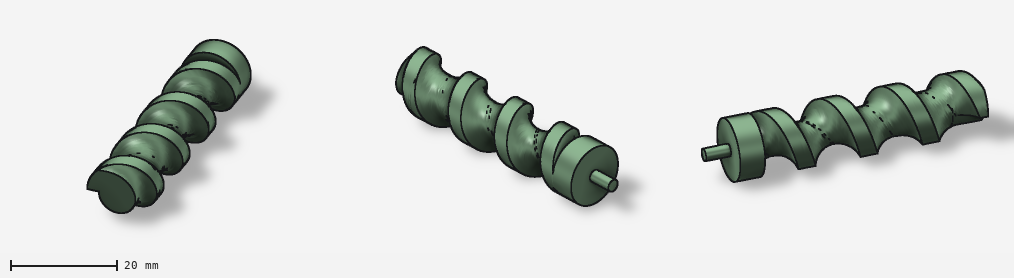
import cadquery as cq
import math

total_length = 55.0
outer_radius = 12.3 / 2
pin_radius = 2.5 / 2
pin_length = 5.0
collar_length = 5.0
screw_length = total_length - pin_length - collar_length

thick_root_radius = 3.75
thin_root_radius = 5.5 / 2
taper_start = screw_length / 3
taper_end = 2 * screw_length / 3

pitch = 12.5
land_width = 3.4
flank_radius = 4.4
start_angle = math.pi

sections_per_turn = 12
flank_steps = 6

clearance = 0.03
overshoot = 0.55
cutter_steps = 6


def root_radius(y):
    """Groove root radius at axial position y."""
    taper = min(max((y - taper_start) / (taper_end - taper_start), 0), 1)
    return thick_root_radius + taper * (thin_root_radius - thick_root_radius)


def thread_angle(y):
    """Angle about the axis, from +X towards +Z, of the land's middle at y."""
    return start_angle - 2 * math.pi * y / pitch


def polar_point(radius, angle, y):
    return cq.Vector(radius * math.cos(angle), y, radius * math.sin(angle))


def screw_section(y):
    """Cross-section of the screw at y: land, flank, root and second flank."""
    root = root_radius(y)
    depth = outer_radius - root
    flank_width = math.sqrt(flank_radius**2 - (flank_radius - depth) ** 2)

    def place(radius, axial_offset):
        return polar_point(radius, thread_angle(y) + 2 * math.pi * axial_offset / pitch, y)

    def flank(side):
        points = []
        for step in range(flank_steps + 1):
            from_foot = flank_width * (1 - step / flank_steps)
            radius = root + flank_radius - math.sqrt(flank_radius**2 - from_foot**2)
            offset = land_width / 2 + flank_width - from_foot
            points.append(place(radius, side * offset))
        return points

    leading = flank(1)
    trailing = flank(-1)
    return cq.Wire.assembleEdges([
        cq.Edge.makeThreePointArc(trailing[0], place(outer_radius, 0), leading[0]),
        cq.Edge.makeSpline(leading),
        cq.Edge.makeThreePointArc(leading[-1], place(root, pitch / 2), trailing[-1]),
        cq.Edge.makeSpline(trailing[::-1]),
    ])


def make_screw(start_y, end_y):
    """Loft of the turning cross-section between two axial positions."""
    length = end_y - start_y
    count = math.ceil(length / pitch * sections_per_turn)
    return cq.Solid.makeLoft([screw_section(start_y + length * i / count) for i in range(count + 1)])


def make_start_cutter():
    """Half-turn helical cutter ahead of the thread start, below the XY plane.

    It is bounded by the root radius and by the middle of the groove, so the
    thread begins with a flat radial face.
    """
    inner = thick_root_radius + clearance
    outer = outer_radius + overshoot

    def section(fraction):
        angle = start_angle + math.pi * fraction
        groove_middle = pitch / 2 * (1 - fraction)
        corners = [
            polar_point(inner, angle, -overshoot),
            polar_point(outer, angle, -overshoot),
            polar_point(outer, angle, groove_middle),
            polar_point(inner, angle, groove_middle),
        ]
        return cq.Wire.makePolygon(corners, close=True)

    return cq.Solid.makeLoft([section(i / cutter_steps) for i in range(cutter_steps + 1)])


def make_cylinder(radius, start_y, length):
    return cq.Workplane("XZ", origin=(0, start_y, 0)).circle(radius).extrude(-length)


start_length = pitch / 2
start_screw = cq.Workplane(make_screw(0, start_length)).cut(cq.Workplane(make_start_cutter()))
main_screw = cq.Workplane(make_screw(start_length, screw_length))
collar = make_cylinder(outer_radius, screw_length, collar_length)
pin = make_cylinder(pin_radius, screw_length + collar_length, pin_length)
result = start_screw.union(main_screw).union(collar.union(pin))